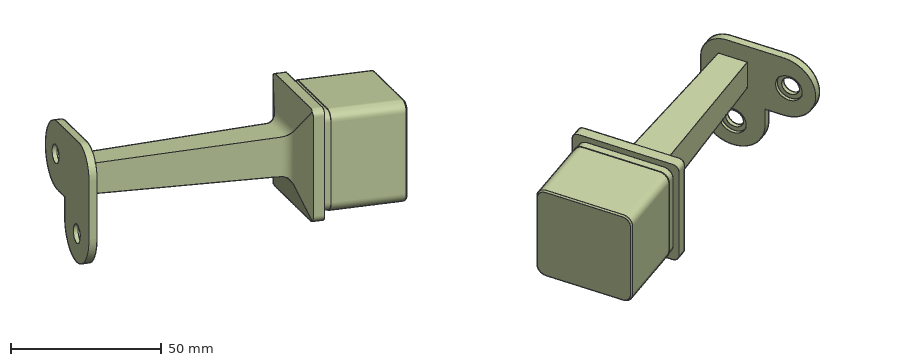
import cadquery as cq

PLATE_THICKNESS = 2.9
TAPER_START = 3.2
FLANGE_FRONT = 76.5
FLANGE_BACK = 80.4
GROOVE_BACK = 83.4
TOTAL_LENGTH = 110.5

ARM_RADIUS = 12.0
ARM_REACH = 31.0
ELBOW_RADIUS = 10.0
HOLE_DIAMETER = 6.6
HOLE_OFFSET = 21.0
COUNTERBORE_DIAMETER = 10.0
COUNTERBORE_DEPTH = 1.2

STEM_FRONT_WIDTH = 10.8
STEM_ROOT_WIDTH = 14.1
STEM_ROOT_Y = 72.5
STEM_FILLET = 4.0

FLANGE_WIDTH = 40.0
FLANGE_CORNER_RADIUS = 2.4
PLUG_WIDTH = 35.9
PLUG_CORNER_RADIUS = 3.6
PLUG_END_CHAMFER = 0.5
GROOVE_DEPTH = 0.2


def square_block(width, corner_radius, y_start, y_end):
    """Square prism along Y with its four long edges rounded."""
    return (
        cq.Workplane("XZ", origin=(0, y_start, 0))
        .rect(width, width)
        .extrude(y_start - y_end)
        .edges("|Y")
        .fillet(corner_radius)
    )


def hole_cylinders(diameter, y_start):
    """Cylinders at both arm holes, running from y_start to the back of the plate."""
    return (
        cq.Workplane("XZ", origin=(0, y_start, 0))
        .pushPoints([(-HOLE_OFFSET, 0), (0, -HOLE_OFFSET)])
        .circle(diameter / 2)
        .extrude(y_start - PLATE_THICKNESS)
    )


def mounting_plate():
    """Two round-ended arms along -X and -Z, each with a hole counterbored from behind."""
    arm_centre = ARM_REACH - ARM_RADIUS
    outline = (
        cq.Workplane("XZ")
        .moveTo(-arm_centre, ARM_RADIUS)
        .lineTo(ARM_RADIUS, ARM_RADIUS)
        .lineTo(ARM_RADIUS, -arm_centre)
        .threePointArc((0, -ARM_REACH), (-ARM_RADIUS, -arm_centre))
        .lineTo(-ARM_RADIUS, -ARM_RADIUS)
        .lineTo(-arm_centre, -ARM_RADIUS)
        .threePointArc((-ARM_REACH, 0), (-arm_centre, ARM_RADIUS))
        .close()
    )
    elbow_corner = cq.selectors.NearestToPointSelector((ARM_RADIUS, PLATE_THICKNESS / 2, ARM_RADIUS))
    plate = outline.extrude(-PLATE_THICKNESS).edges(elbow_corner).fillet(ELBOW_RADIUS)
    holes = hole_cylinders(HOLE_DIAMETER, 0)
    counterbores = hole_cylinders(COUNTERBORE_DIAMETER, PLATE_THICKNESS - COUNTERBORE_DEPTH)
    return plate.cut(holes).cut(counterbores)


def stem_profile_prism():
    """Lengthwise profile of the stem and pyramid, extruded along Z across the flange."""
    half_front = STEM_FRONT_WIDTH / 2
    half_root = STEM_ROOT_WIDTH / 2
    half_flange = FLANGE_WIDTH / 2
    root_edges = cq.selectors.SumSelector(
        cq.selectors.NearestToPointSelector((-half_root, STEM_ROOT_Y, 0)),
        cq.selectors.NearestToPointSelector((half_root, STEM_ROOT_Y, 0)),
    )
    return (
        cq.Workplane("XY")
        .polyline([
            (-half_front, TAPER_START),
            (half_front, TAPER_START),
            (half_root, STEM_ROOT_Y),
            (half_flange, FLANGE_FRONT),
            (half_flange, FLANGE_BACK),
            (-half_flange, FLANGE_BACK),
            (-half_flange, FLANGE_FRONT),
            (-half_root, STEM_ROOT_Y),
        ])
        .close()
        .extrude(half_flange, both=True)
        .edges(root_edges)
        .fillet(STEM_FILLET)
    )


def stem_and_flange():
    """Square stem flaring through a pyramid into the round-cornered flange."""
    profile = stem_profile_prism()
    turned_profile = profile.rotate((0, 0, 0), (0, 1, 0), 90)
    envelope = square_block(FLANGE_WIDTH, FLANGE_CORNER_RADIUS, 0, FLANGE_BACK)
    return profile.intersect(turned_profile).intersect(envelope)


def stem_foot():
    """Short straight length of stem between the plate and the start of the taper."""
    return (
        cq.Workplane("XZ", origin=(0, PLATE_THICKNESS, 0))
        .rect(STEM_FRONT_WIDTH, STEM_FRONT_WIDTH)
        .extrude(PLATE_THICKNESS - TAPER_START)
    )


def plug():
    """Rounded square plug with a chamfered end and a shallow groove beside the flange."""
    body = square_block(PLUG_WIDTH, PLUG_CORNER_RADIUS, GROOVE_BACK, TOTAL_LENGTH)
    body = body.faces(">Y").chamfer(PLUG_END_CHAMFER)
    neck = square_block(
        PLUG_WIDTH - 2 * GROOVE_DEPTH,
        PLUG_CORNER_RADIUS - GROOVE_DEPTH,
        FLANGE_BACK,
        GROOVE_BACK,
    )
    return body.union(neck)


result = mounting_plate().union(stem_foot()).union(stem_and_flange()).union(plug())